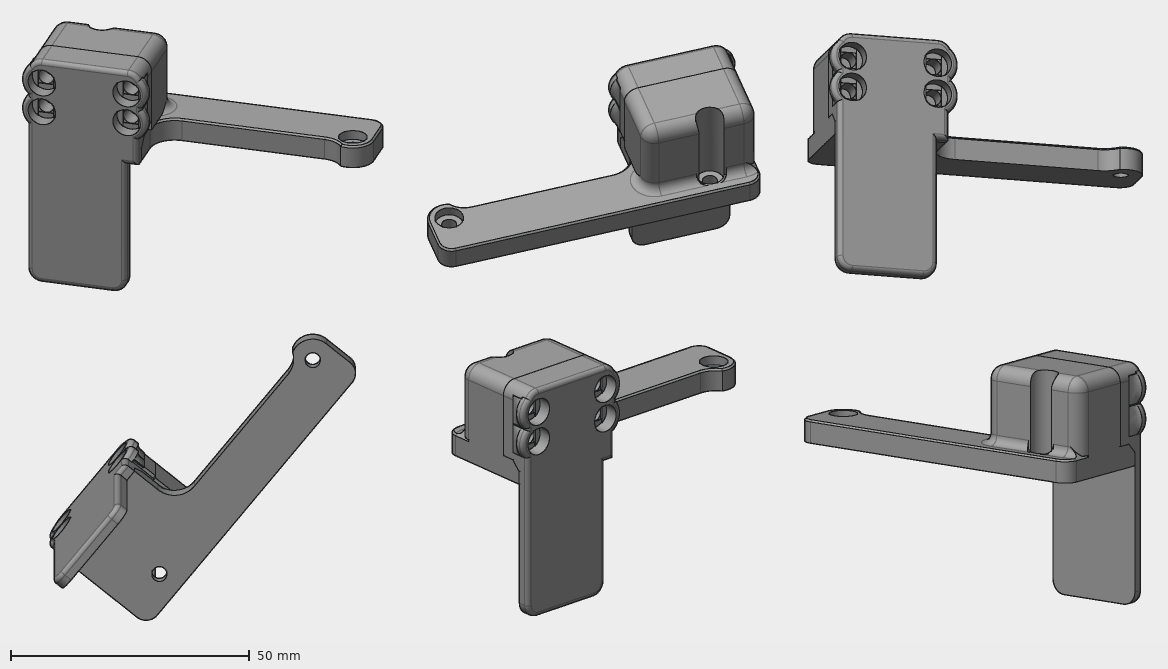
import cadquery as cq
import math

LEFT = 1.4
BLOCK_RIGHT = 26.15
BASE_RIGHT = 25.45
TOTAL_HEIGHT = 51.7
ARM_BOTTOM = 30.05
ARM_TOP = 35.0
CORNER_RADIUS = 3.0
COVE_RADIUS = 2.0
COVE_TOP = ARM_TOP + COVE_RADIUS

PLATE_BACK = 2.7
PARTING_Y = 7.7
PARTING_CHAMFER = 2.1

PLATE_RIGHT = 22.9
FRONT_FILLET = 1.0
BOSS_RADIUS = 4.5
BOSS_LENGTH = 2.0
BOSS_X = (BOSS_RADIUS, 23.0)
BOSS_Z = (39.85, 46.55)
BLEND_LENGTH = 2.7
BLEND_SECTIONS = ((0, 1.0), (BLEND_LENGTH / 3, 0.45), (BLEND_LENGTH, 0.03))
SCREW_BORE_DIAMETER = 6.0
SCREW_BORE_DEPTH = 3.0
SCREW_HOLE_DIAMETER = 3.4
STEP_DEPTH = 0.2

BLOCK_BACK = 21.85
ARM_BACK = 25.95
ARM_FRONT = 14.4
ARM_CHAMFER = 0.4
ARM_ROOT_RADIUS = 5.4
ARM_END = 72.1
END_RADIUS = 4.55
END_HOLE = (ARM_END - END_RADIUS, 16.5)
RELIEF_RADIUS = 5.0
RELIEF_START_X = 62.0
BLOCK_HOLE = (11.5, 20.7)
MOUNT_HOLE_DIAMETER = 3.2
COUNTERBORE_DIAMETER = 6.0
COUNTERBORE_DEPTH = 2.0
COVE_CLEARANCE_DIAMETER = 7.0


def box(x_range, y_range, z_range):
    """Axis-aligned box between two limits on each axis."""
    size = [high - low for low, high in (x_range, y_range, z_range)]
    corner = (x_range[0], y_range[0], z_range[0])
    return cq.Workplane("XY").box(*size, centered=False).translate(corner)


def along_x(outline_yz, x_start, x_end):
    """Closed polygon of (y, z) points extruded along X."""
    return (
        cq.Workplane("YZ", origin=(x_start, 0, 0))
        .polyline(outline_yz)
        .close()
        .extrude(x_end - x_start)
    )


def cylinder(center, diameter, z_start, z_end):
    """Upright cylinder between two heights."""
    return (
        cq.Workplane("XY", origin=(*center, z_start))
        .circle(diameter / 2)
        .extrude(z_end - z_start)
    )


def front_plane(y):
    """Sketch plane at depth y; its local axes are X and Z and it extrudes toward -Y."""
    return cq.Workplane("XZ", origin=(0, y, 0))


def front_plate():
    """Long plate with a narrow lower part and a rounded front edge."""
    plate = (
        front_plane(PLATE_BACK)
        .moveTo(LEFT, 0)
        .lineTo(PLATE_RIGHT, 0)
        .lineTo(PLATE_RIGHT, ARM_BOTTOM)
        .lineTo(BASE_RIGHT, ARM_BOTTOM)
        .lineTo(BASE_RIGHT, COVE_TOP)
        .lineTo(BLOCK_RIGHT, COVE_TOP)
        .lineTo(BLOCK_RIGHT, TOTAL_HEIGHT)
        .lineTo(LEFT, TOTAL_HEIGHT)
        .close()
        .extrude(PLATE_BACK)
    )
    plate = plate.edges("|Y and (<Z or >Z)").fillet(CORNER_RADIUS)
    return plate.faces("<Y").edges().fillet(FRONT_FILLET)


def cover_block():
    """Thick upper part of the cover, ending at the parting line."""
    upper = box((LEFT, BLOCK_RIGHT), (PLATE_BACK, PARTING_Y), (COVE_TOP, TOTAL_HEIGHT))
    upper = upper.edges("|Y and >Z").fillet(CORNER_RADIUS)
    shoulder_outline = [
        (PLATE_BACK, ARM_TOP - PARTING_CHAMFER),
        (PLATE_BACK + PARTING_CHAMFER, ARM_TOP),
        (PARTING_Y, ARM_TOP),
        (PARTING_Y, COVE_TOP),
        (PLATE_BACK, COVE_TOP),
    ]
    return upper.union(along_x(shoulder_outline, LEFT, BASE_RIGHT))


def screw_boss(x, z):
    """Round boss with a rounded front rim."""
    boss = front_plane(BOSS_LENGTH).center(x, z).circle(BOSS_RADIUS).extrude(BOSS_LENGTH)
    return boss.faces("<Y").edges().fillet(FRONT_FILLET)


def boss_blend(x, z, wall_x):
    """Taper that brings the overhanging part of a boss back to the side wall."""
    overhang = BOSS_RADIUS - abs(wall_x - x)
    half_chord = math.sqrt(BOSS_RADIUS**2 - (wall_x - x)**2)
    outward = math.copysign(1, wall_x - x)
    blend = cq.Workplane("XZ", origin=(0, BOSS_LENGTH, 0))
    last_y = 0
    for y, share in BLEND_SECTIONS:
        blend = (
            blend.workplane(offset=last_y - y)
            .moveTo(x, z)
            .lineTo(wall_x, z - half_chord)
            .threePointArc((wall_x + outward * overhang * share, z), (wall_x, z + half_chord))
            .close()
        )
        last_y = y
    return blend.loft(combine=True)


def screw_recess(x, z):
    """Stepped screw hole: round bore, slot step, square step and clearance hole."""
    bore = front_plane(SCREW_BORE_DEPTH).center(x, z).circle(SCREW_BORE_DIAMETER / 2)
    bore = bore.extrude(SCREW_BORE_DEPTH)
    slot_back = SCREW_BORE_DEPTH + STEP_DEPTH
    square_back = slot_back + STEP_DEPTH
    disc = front_plane(slot_back).center(x, z).circle(SCREW_BORE_DIAMETER / 2).extrude(STEP_DEPTH)
    strip = front_plane(slot_back).center(x, z).rect(SCREW_HOLE_DIAMETER, SCREW_BORE_DIAMETER)
    slot = disc.intersect(strip.extrude(STEP_DEPTH))
    square = front_plane(square_back).center(x, z).rect(SCREW_HOLE_DIAMETER, SCREW_HOLE_DIAMETER)
    hole = front_plane(PARTING_Y).center(x, z).circle(SCREW_HOLE_DIAMETER / 2).extrude(PARTING_Y)
    return bore.union(slot).union(square.extrude(STEP_DEPTH)).union(hole)


def make_cover():
    cover = front_plate().union(cover_block())
    walls = (LEFT, BLOCK_RIGHT)
    centers = [(x, z, wall_x) for x, wall_x in zip(BOSS_X, walls) for z in BOSS_Z]
    for x, z, wall_x in centers:
        cover = cover.union(screw_boss(x, z)).union(boss_blend(x, z, wall_x))
    for x, z, _ in centers:
        cover = cover.cut(screw_recess(x, z))
    return cover


def relief_end():
    """Lower point where the relief arc meets the arc of the rounded end."""
    relief_y = ARM_FRONT - RELIEF_RADIUS
    step_x = END_HOLE[0] - RELIEF_START_X
    step_y = END_HOLE[1] - relief_y
    distance = math.hypot(step_x, step_y)
    along = (distance**2 + RELIEF_RADIUS**2 - END_RADIUS**2) / (2 * distance)
    across = math.sqrt(RELIEF_RADIUS**2 - along**2)
    x = RELIEF_START_X + (along * step_x + across * step_y) / distance
    y = relief_y + (along * step_y - across * step_x) / distance
    return x, y


def arm():
    """Flat arm with a rounded end, its top edge chamfered all round."""
    slab = (
        cq.Workplane("XY", origin=(0, 0, ARM_BOTTOM))
        .moveTo(LEFT, PARTING_Y)
        .lineTo(BASE_RIGHT, PARTING_Y)
        .lineTo(BASE_RIGHT, ARM_FRONT - ARM_ROOT_RADIUS)
        .radiusArc((BASE_RIGHT + ARM_ROOT_RADIUS, ARM_FRONT), ARM_ROOT_RADIUS)
        .lineTo(RELIEF_START_X, ARM_FRONT)
        .radiusArc(relief_end(), RELIEF_RADIUS)
        .radiusArc((ARM_END, END_HOLE[1]), -END_RADIUS)
        .lineTo(ARM_END, ARM_BACK)
        .lineTo(LEFT, ARM_BACK)
        .close()
        .extrude(ARM_TOP - ARM_BOTTOM)
    )
    slab = slab.edges("|Z and >Y").fillet(CORNER_RADIUS)
    return slab.faces(">Z").edges().chamfer(ARM_CHAMFER)


def base():
    """Lower part under the block, shaped at the front to the parting line."""
    outline = [
        (PLATE_BACK, ARM_BOTTOM),
        (BLOCK_BACK - CORNER_RADIUS, ARM_BOTTOM),
        (BLOCK_BACK - CORNER_RADIUS, ARM_TOP),
        (PLATE_BACK + PARTING_CHAMFER, ARM_TOP),
        (PLATE_BACK, ARM_TOP - PARTING_CHAMFER),
    ]
    return along_x(outline, LEFT, BASE_RIGHT)


def housing_block():
    """Tall block with rounded back and top edges."""
    block = box((LEFT, BLOCK_RIGHT), (PARTING_Y, BLOCK_BACK), (ARM_TOP, TOTAL_HEIGHT))
    return block.edges("(|Z and >Y) or (|X and >Y and >Z) or (|Y and >Z)").fillet(CORNER_RADIUS)


def cove_profile(plane):
    """Section of the cove, from a corner's axis out past the wall at CORNER_RADIUS from it."""
    wall = CORNER_RADIUS
    mid_offset = COVE_RADIUS * (1 - math.sqrt(0.5))
    return (
        plane.lineTo(wall + COVE_RADIUS, 0)
        .threePointArc((wall + mid_offset, mid_offset), (wall, COVE_RADIUS))
        .lineTo(0, COVE_RADIUS)
        .close()
    )


def cove():
    """Concave fillet along the block's back and around its back corners."""
    corner_y = BLOCK_BACK - CORNER_RADIUS
    corners_x = (LEFT + CORNER_RADIUS, BLOCK_RIGHT - CORNER_RADIUS)
    plane = cq.Workplane("YZ", origin=(corners_x[0], corner_y, ARM_TOP))
    foot = cove_profile(plane).extrude(corners_x[1] - corners_x[0])
    for x in corners_x:
        plane = cq.Workplane("XZ", origin=(x, corner_y, ARM_TOP))
        foot = foot.union(cove_profile(plane).revolve(360, (0, 0, 0), (0, 1, 0)))
    rim_x = LEFT + ARM_CHAMFER
    trim = (
        front_plane(ARM_BACK)
        .moveTo(rim_x, ARM_TOP)
        .lineTo(rim_x + COVE_RADIUS, COVE_TOP)
        .lineTo(LEFT - CORNER_RADIUS, COVE_TOP)
        .lineTo(LEFT - CORNER_RADIUS, ARM_TOP)
        .close()
        .extrude(ARM_BACK)
    )
    return foot.cut(trim).cut(cylinder(BLOCK_HOLE, COVE_CLEARANCE_DIAMETER, ARM_TOP, COVE_TOP))


def mounting_hole(center):
    """Through hole with a counterbore that stays open upward."""
    hole = cylinder(center, MOUNT_HOLE_DIAMETER, ARM_BOTTOM, ARM_TOP)
    head = cylinder(center, COUNTERBORE_DIAMETER, ARM_TOP - COUNTERBORE_DEPTH, TOTAL_HEIGHT)
    return hole.union(head)


def make_housing():
    housing = arm().union(base()).union(cove()).union(housing_block())
    for center in (BLOCK_HOLE, END_HOLE):
        housing = housing.cut(mounting_hole(center))
    return housing


cover = make_cover()
housing = make_housing()
result = cq.Compound.makeCompound([cover.solids().val(), housing.solids().val()])